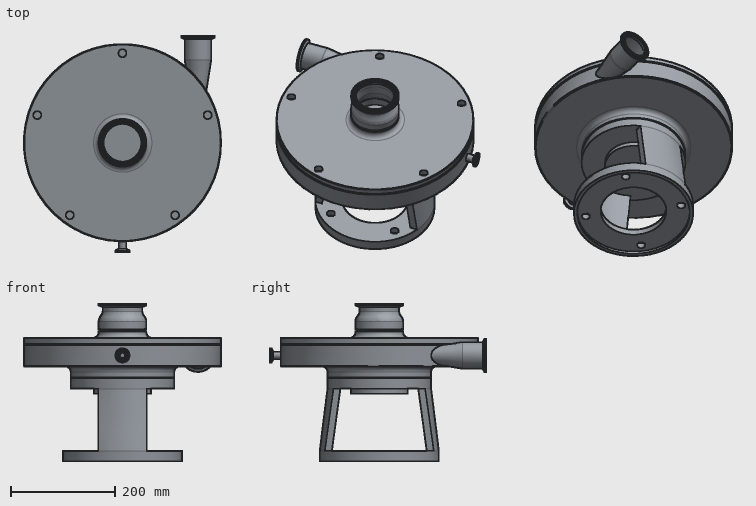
import cadquery as cq

flange_radius = 114.5
flange_height = 20.5
flange_bore_radius = 63.0
flange_recess_radius = 108.0
flange_recess_depth = 6.2
flange_hole_circle = 92.5
flange_hole_diameter = 15.5
flange_hole_count = 4
flange_first_hole_angle = 45
seat_radius = 99.5
seat_height = 20.5
seat_bottom = 139.5
seat_top = seat_bottom + seat_height
leg_width = 93.8
leg_inner_top_radius = 88.0
leg_inner_bottom_radius = 102.0

spigot_radius = 54.8
spigot_protrusion = 10.0
spigot_bottom = seat_bottom - spigot_protrusion
neck_radius = seat_radius
neck_fillet = 10.0
neck_chamfer = 1.2
drum_diameter = 379.0
drum_radius = drum_diameter / 2
drum_bottom = 181.8
drum_top = 224.5
drum_bottom_fillet = 2.0
joint_chamfer = 1.5
lid_top = 237.5
lid_chamfer = 1.2
lid_hole_diameter = 15.5
lid_hole_circle = 172.0
lid_hole_count = 5
lid_first_hole_angle = 90
lid_hole_depth = lid_top - drum_top

overall_height = 302.5
inlet_radius = 38.0
inlet_bore_radius = 36.0
inlet_rim_radius = 46.0
hub_radius = 46.0
hub_bore_radius = 40.3
hub_fillet = 10.0
hub_top = 250.0
hub_groove_radius = 42.5
hub_groove_slope_rise = 1.5
hub_groove_top = 253.5
bell_bottom = 268.5
bell_top = 288.5
bell_bore_drop = 15.0

port_height = 203.5

outlet_x = 145.0
outlet_end_y = 205.0
outlet_radius = 25.7
outlet_wall = 2.0
outlet_rim_radius = 32.0
outlet_straight_length = 45.5
outlet_taper_length = 66.5
outlet_taper_end_radius = 15.5
outlet_length = outlet_straight_length + outlet_taper_length

overall_length = 415.0
drain_end_y = outlet_end_y - overall_length
drain_radius = 7.5
drain_bore_radius = 5.0
drain_rim_radius = 13.5
drain_bore_depth = -drain_end_y - drum_radius
drain_embed = 4.0
drain_length = drain_bore_depth + drain_embed

rim_thickness = 3.5
rim_cone_length = 3.5
rim_length = rim_thickness + rim_cone_length
gasket_groove_depth = 1.2
gasket_groove_slope = 1.0
gasket_groove_inner_land = 1.0
gasket_groove_outer_land = 2.5


def revolved(profile):
    """Turn a closed profile, drawn as radius and height, around the Z axis."""
    return profile.close().revolve(360, (0, 0, 0), (0, 1, 0))


def cone_disc(bottom_radius, top_radius, bottom, top):
    """Solid cone frustum on the Z axis."""
    return revolved(
        cq.Workplane("XZ")
        .moveTo(0, bottom)
        .lineTo(bottom_radius, bottom)
        .lineTo(top_radius, top)
        .lineTo(0, top)
    )


def hole_pattern(circle_radius, count, first_angle, diameter, bottom, depth):
    """Upright cylinders evenly spaced on a circle around the Z axis."""
    return (
        cq.Workplane("XY", origin=(0, 0, bottom))
        .polarArray(circle_radius, first_angle, 360, count)
        .circle(diameter / 2)
        .extrude(depth)
    )


def make_ferrule(pipe_radius, rim_radius):
    """Clamp ferrule with its face at Z = 0 and its pipe side below; not yet bored."""
    ferrule = cone_disc(pipe_radius, rim_radius, -rim_length, -rim_thickness)
    ferrule = ferrule.union(cone_disc(rim_radius, rim_radius, -rim_thickness, 0))
    groove_inner = pipe_radius + gasket_groove_inner_land
    groove_outer = rim_radius - gasket_groove_outer_land
    gasket_groove = revolved(
        cq.Workplane("XZ")
        .moveTo(groove_inner, 0)
        .lineTo(groove_inner + gasket_groove_slope, -gasket_groove_depth)
        .lineTo(groove_outer - gasket_groove_slope, -gasket_groove_depth)
        .lineTo(groove_outer, 0)
    )
    return ferrule.cut(gasket_groove)


def make_legs():
    """Two opposite strips of a hollow cone, one at -Y and one at +Y."""
    outer = cone_disc(flange_radius, seat_radius, flange_height, seat_bottom)
    inner = cone_disc(leg_inner_bottom_radius, leg_inner_top_radius, flange_height, seat_bottom)
    strip = cq.Workplane("XY").box(
        leg_width, 2 * flange_radius, seat_top, centered=(True, True, False)
    )
    return outer.cut(inner).intersect(strip)


def make_stand():
    """Bolted flange with a recess underneath, the legs and the seat ring as one body."""
    flange = (
        cq.Workplane("XY").circle(flange_radius).circle(flange_bore_radius).extrude(flange_height)
    )
    flange = flange.cut(
        hole_pattern(
            flange_hole_circle,
            flange_hole_count,
            flange_first_hole_angle,
            flange_hole_diameter,
            0,
            flange_height,
        )
    )
    recess = cq.Workplane("XY").circle(flange_recess_radius).extrude(flange_recess_depth)
    flange = flange.cut(recess)
    seat = (
        cq.Workplane("XY", origin=(0, 0, seat_bottom))
        .circle(seat_radius)
        .circle(spigot_radius)
        .extrude(seat_height)
    )
    return flange.union(make_legs()).union(seat)


def make_drum():
    """Spigot, neck, drum and lid as one turned shape with the lid holes."""
    drum = revolved(
        cq.Workplane("XZ")
        .moveTo(0, spigot_bottom)
        .lineTo(spigot_radius, spigot_bottom)
        .lineTo(spigot_radius, seat_top)
        .lineTo(neck_radius - neck_chamfer, seat_top)
        .lineTo(neck_radius, seat_top + neck_chamfer)
        .lineTo(neck_radius, drum_bottom - neck_fillet)
        .radiusArc((neck_radius + neck_fillet, drum_bottom), neck_fillet)
        .lineTo(drum_radius - drum_bottom_fillet, drum_bottom)
        .radiusArc((drum_radius, drum_bottom + drum_bottom_fillet), -drum_bottom_fillet)
        .lineTo(drum_radius, drum_top - joint_chamfer)
        .lineTo(drum_radius - joint_chamfer, drum_top)
        .lineTo(drum_radius, drum_top + joint_chamfer)
        .lineTo(drum_radius, lid_top - lid_chamfer)
        .lineTo(drum_radius - lid_chamfer, lid_top)
        .lineTo(0, lid_top)
    )
    return drum.cut(
        hole_pattern(
            lid_hole_circle,
            lid_hole_count,
            lid_first_hole_angle,
            lid_hole_diameter,
            drum_top,
            lid_hole_depth,
        )
    )


def bell_profile(profile, bell_radius, pipe_radius, drop, top):
    """Continue a profile up the S-shaped bell, lowered by the drop, and the pipe, then in to the axis."""
    return (
        profile.lineTo(bell_radius, bell_bottom - drop)
        .spline([(pipe_radius, bell_top - drop)], tangents=[(0, 1), (0, 1)], includeCurrent=True)
        .lineTo(pipe_radius, top)
        .lineTo(0, top)
    )


def make_inlet():
    """Solid inlet standing on the lid: flared hub, groove, bell and ferrule."""
    hub = (
        cq.Workplane("XZ")
        .moveTo(0, lid_top)
        .lineTo(hub_radius + hub_fillet, lid_top)
        .radiusArc((hub_radius, lid_top + hub_fillet), hub_fillet)
        .lineTo(hub_radius, hub_top)
        .lineTo(hub_groove_radius, hub_top + hub_groove_slope_rise)
        .lineTo(hub_groove_radius, hub_groove_top)
        .lineTo(hub_radius, hub_groove_top)
    )
    bell = revolved(bell_profile(hub, hub_radius, inlet_radius, 0, overall_height - rim_length))
    ferrule = make_ferrule(inlet_radius, inlet_rim_radius)
    return bell.union(ferrule.translate((0, 0, overall_height)))


def make_inlet_bore():
    """Passage inside the inlet, ending level with the top of the lid."""
    bore = cq.Workplane("XZ").moveTo(0, lid_top).lineTo(hub_bore_radius, lid_top)
    return revolved(
        bell_profile(bore, hub_bore_radius, inlet_bore_radius, bell_bore_drop, overall_height)
    )


def tapered_pipe(radius, end_radius):
    """Straight pipe below Z = 0 that narrows at its lower end; solid."""
    straight = cone_disc(radius, radius, -outlet_straight_length, 0)
    taper = cone_disc(end_radius, radius, -outlet_length, -outlet_straight_length)
    return straight.union(taper)


def place_outlet(shape):
    """Move a shape built with its face at Z = 0 so that it faces +Y at the outlet."""
    return shape.rotate((0, 0, 0), (1, 0, 0), -90).translate((outlet_x, outlet_end_y, port_height))


def place_drain(shape):
    """Move a shape built with its face at Z = 0 so that it faces -Y at the drain."""
    return shape.rotate((0, 0, 0), (1, 0, 0), 90).translate((0, drain_end_y, port_height))


def make_outlet():
    pipe = tapered_pipe(outlet_radius, outlet_taper_end_radius)
    pipe = pipe.cut(cq.Workplane("XY").circle(outlet_radius).extrude(-rim_length))
    return place_outlet(pipe.union(make_ferrule(outlet_radius, outlet_rim_radius)))


def make_outlet_bore():
    return place_outlet(
        tapered_pipe(outlet_radius - outlet_wall, outlet_taper_end_radius - outlet_wall)
    )


def make_drain():
    pipe = cone_disc(drain_radius, drain_radius, -drain_length, -rim_length)
    return place_drain(pipe.union(make_ferrule(drain_radius, drain_rim_radius)))


def make_drain_bore():
    return place_drain(cq.Workplane("XY").circle(drain_bore_radius).extrude(-drain_bore_depth))


def make_casing():
    """Drum, lid, inlet, outlet and drain as one body, with the three ports bored."""
    casing = make_drum().union(make_inlet()).union(make_outlet()).union(make_drain())
    return casing.cut(make_inlet_bore()).cut(make_outlet_bore()).cut(make_drain_bore())


stand = make_stand()
casing = make_casing()
result = cq.Compound.makeCompound([stand.val(), casing.val()])